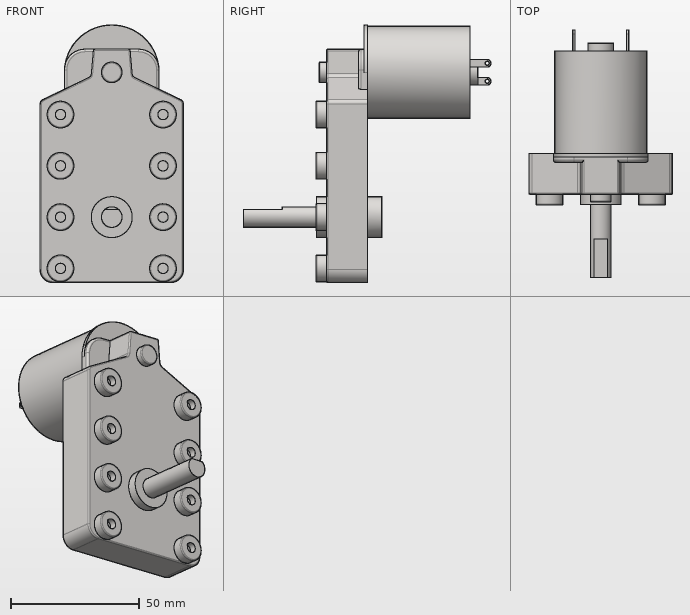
import cadquery as cq

case_width = 56.0
case_depth = 16.0
case_bottom = -25.5
shoulder_corner_z = 45.3
neck_root_z = 54.9
neck_root_half_width = 8.0
neck_top_half_width = 7.1
neck_top_z = 65.5
bottom_corner_radius = 5.0
outline_radius = 2.0
neck_top_radius = 0.7
edge_rounding = 0.5

overall_height = 100.5
flange_diameter = 37.0
flange_thickness = 1.5
can_diameter = 36.0
can_length = 40.0
rear_hub_diameter = 10.0
rear_hub_length = 3.0
motor_axis_z = case_bottom + overall_height - flange_diameter / 2

plate_thickness = 2.0
plate_corner_radius = 8.0
plate_edge_rounding = 1.0
plate_bottom_z = 42.2

terminal_length = 8.1
terminal_height = 3.0
terminal_thickness = 1.0
terminal_offset_x = 10.5
terminal_offset_z = 3.5
terminal_hole_diameter = 1.5

shaft_diameter = 8.0
shaft_length = 32.5
flat_length = 15.1
flat_depth = 1.0
boss_diameter = 16.0
front_boss_length = 4.0
rear_boss_length = 5.5

screw_head_diameter = 10.5
screw_head_height = 4.2
screw_pitch_z = 20.0
screw_offset_x = 20.0
screw_rows = (-1, 0, 1, 2)
socket_diameter = 4.0
socket_depth = 3.0
pin_diameter = 8.0
pin_height = 2.9
head_rounding = 0.4


def cylinder_y(diameter, y_start, y_end, x=0.0, z=0.0):
    """Cylinder along Y between two Y positions."""
    base = cq.Workplane("XZ", origin=(x, y_start, z))
    return base.circle(diameter / 2).extrude(y_start - y_end)


def corner_edges(z):
    """Selects the left and right edges along Y at the outline corners of height z."""
    margin = 0.1
    mid_depth = case_depth / 2
    lower = (-case_width, mid_depth - margin, z - margin)
    upper = (case_width, mid_depth + margin, z + margin)
    return cq.selectors.BoxSelector(lower, upper) & cq.selectors.StringSyntaxSelector("|Y")


def make_case():
    """Case with sloped shoulders and a tapered neck, rounded along the front edge."""
    half_width = case_width / 2
    right_side = [
        (half_width, case_bottom),
        (half_width, shoulder_corner_z),
        (neck_root_half_width, neck_root_z),
        (neck_top_half_width, neck_top_z),
    ]
    left_side = [(-x, z) for x, z in reversed(right_side)]
    case = cq.Workplane("XZ").polyline(right_side + left_side).close().extrude(-case_depth)

    corner_rounding = [
        (case_bottom, bottom_corner_radius),
        (shoulder_corner_z, outline_radius),
        (neck_root_z, outline_radius),
        (neck_top_z, neck_top_radius),
    ]
    for corner_z, radius in corner_rounding:
        case = case.edges(corner_edges(corner_z)).fillet(radius)
    return case.faces("<Y").edges().fillet(edge_rounding)


def make_block(width, y_start, y_end, z_bottom, z_top):
    """Block centred on X = 0 between the given Y and Z positions."""
    size_y = y_end - y_start
    block = cq.Workplane("XY").box(width, size_y, z_top - z_bottom, centered=(True, False, False))
    return block.translate((0, y_start, z_bottom))


def make_adapter_plate():
    """Plate level with the neck top, with round upper corners and a rounded front edge."""
    plate_back = case_depth - flange_thickness
    plate = make_block(
        flange_diameter, plate_back - plate_thickness, plate_back, plate_bottom_z, neck_top_z
    )
    plate = plate.edges("|Y and >Z").fillet(plate_corner_radius)
    return plate.faces("<Y").edges("not <Z").fillet(plate_edge_rounding)


def make_motor():
    """Round can on a flange that is round at the top and straight-sided below the motor axis."""
    flange_front = case_depth - flange_thickness
    can_end = case_depth + can_length
    flange = cylinder_y(flange_diameter, flange_front, case_depth, z=motor_axis_z)
    flange_skirt = make_block(flange_diameter, flange_front, case_depth, plate_bottom_z, motor_axis_z)
    can = cylinder_y(can_diameter, case_depth, can_end, z=motor_axis_z)
    hub = cylinder_y(rear_hub_diameter, can_end, can_end + rear_hub_length, z=motor_axis_z)
    return flange.union(flange_skirt).union(can).union(hub)


def make_terminal(side):
    """Flat tab with a round, pierced end; side is -1 for the left tab and 1 for the right one."""
    can_end = case_depth + can_length
    end_radius = terminal_height / 2
    eye_y = can_end + terminal_length - end_radius
    center_z = motor_axis_z + side * terminal_offset_z
    start_x = side * terminal_offset_x - terminal_thickness / 2
    profile = cq.Workplane("YZ", origin=(start_x, 0, 0))
    tab = (
        profile.moveTo(can_end, center_z - end_radius)
        .lineTo(eye_y, center_z - end_radius)
        .threePointArc((eye_y + end_radius, center_z), (eye_y, center_z + end_radius))
        .lineTo(can_end, center_z + end_radius)
        .close()
        .extrude(terminal_thickness)
    )
    eye = profile.center(eye_y, center_z).circle(terminal_hole_diameter / 2).extrude(terminal_thickness)
    return tab.cut(eye)


def make_output():
    """Bearing bosses on both faces of the case and the shaft with its flat on the +Z side."""
    bosses = cylinder_y(boss_diameter, -front_boss_length, case_depth + rear_boss_length)
    shaft = cylinder_y(shaft_diameter, -shaft_length, 0)
    shaft_radius = shaft_diameter / 2
    flat = make_block(
        shaft_diameter, -shaft_length, flat_length - shaft_length, shaft_radius - flat_depth, shaft_radius
    )
    return bosses.union(shaft.cut(flat))


def make_screw_head(x, z):
    """Screw head on the front face with a round blind socket."""
    head = cylinder_y(screw_head_diameter, -screw_head_height, 0, x, z)
    head = head.faces("<Y").edges().fillet(head_rounding)
    socket = cylinder_y(socket_diameter, -screw_head_height, -screw_head_height + socket_depth, x, z)
    return head.cut(socket)


def make_pin():
    """Pin on the front face in line with the motor axis."""
    pin = cylinder_y(pin_diameter, -pin_height, 0, z=motor_axis_z)
    return pin.faces("<Y").edges().fillet(head_rounding)


result = make_case().union(make_adapter_plate()).union(make_motor()).union(make_output()).union(make_pin())
for side in (-1, 1):
    result = result.union(make_terminal(side))
    for row in screw_rows:
        result = result.union(make_screw_head(side * screw_offset_x, row * screw_pitch_z))